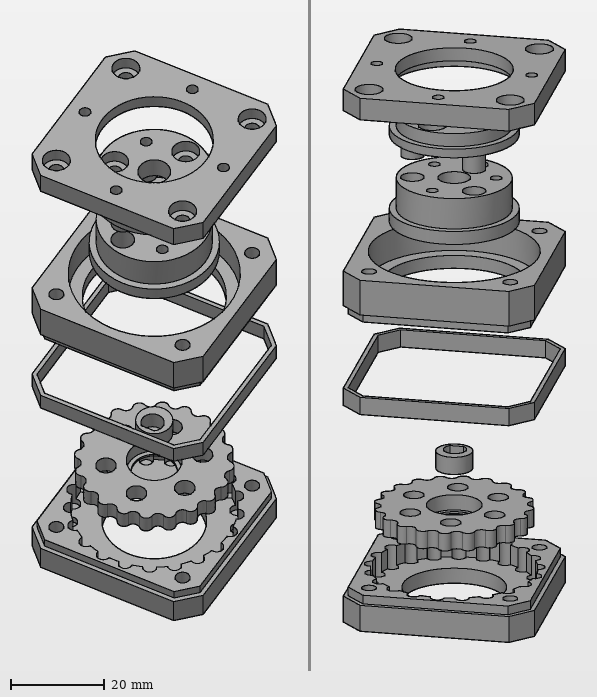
import cadquery as cq
import math

plate_width = 42.0
plate_chamfer = 4.68
spigot_step = 1.0
spigot_width = plate_width - 2 * spigot_step
spigot_chamfer = plate_chamfer - spigot_step * (2 - math.sqrt(2))
spigot_height = 2.0
corner_screw_spacing = 31.0
corner_screw_diameter = 3.2
screw_head_diameter = 6.0
screw_head_depth = 3.0

output_diameter = 25.0
flange_diameter = 28.0
output_bolt_radius = 9.0
output_first_angle = 10.0
output_station_count = 6
output_bore_diameter = 7.0
output_screw_diameter = 3.1
thread_diameter = 2.5
drive_pin_diameter = 5.0
drive_pin_length = 5.0
drive_pin_socket_diameter = 5.05
upper_flange_height = 2.0
upper_boss_height = 3.0
lower_flange_height = 3.0
lower_boss_height = 7.0

cover_height = upper_flange_height + upper_boss_height
cover_bore_diameter = 25.4
flange_recess_diameter = 29.0
cover_hole_radius = 17.0
cover_hole_count = 4

bearing_housing_height = 8.0
bearing_bore_diameter = 37.0
bearing_bore_depth = 7.0
bearing_housing_bore_diameter = 31.0

eccentricity = 0.75
ring_pin_count = 21
ring_pin_diameter = 3.0
ring_pin_circle_radius = 18.0
ring_pin_first_angle = 90.0
disc_lobe_count = ring_pin_count - 1
disc_lobe_phase = 4.5
disc_height = 4.0
disc_outer_radius = ring_pin_circle_radius - ring_pin_diameter / 2 + eccentricity
disc_inner_radius = disc_outer_radius - 2 * eccentricity
lobe_valley_radius = ring_pin_diameter / 2
disc_bearing_diameter = 12.0
disc_bearing_depth = 3.5
disc_bore_diameter = 10.0
disc_hole_diameter = 4.4
disc_hole_radius = 10.5
disc_hole_count = 6
disc_hole_first_angle = 37.5

cam_diameter = 8.0
cam_height = 4.0
motor_shaft_diameter = 5.0
motor_shaft_flat_distance = 2.0

base_height = 6.0
base_pocket_depth = 4.5
ring_pin_seat_depth = 6.0
motor_boss_diameter = 22.5
spacer_height = 2 * spigot_height

base_z = 0.0
disc_z = 18.48
cam_z = 31.0
spacer_z = 50.0
bearing_housing_z = 71.0
lower_output_z = 88.0
upper_output_z = 103.0
cover_z = 118.0


def chamfered_plate(width, chamfer, height, z):
    plate = cq.Workplane("XY", origin=(0, 0, z)).rect(width, width).extrude(height)
    return plate.edges("|Z").chamfer(chamfer)


def cylinder(diameter, height, z):
    return cq.Workplane("XY", origin=(0, 0, z)).circle(diameter / 2).extrude(height)


def cylinders_at(points, diameter, height, z):
    plane = cq.Workplane("XY", origin=(0, 0, z))
    return plane.pushPoints(points).circle(diameter / 2).extrude(height)


def polar_point(radius, angle):
    turn = math.radians(angle)
    return (radius * math.cos(turn), radius * math.sin(turn))


def ring_of_points(radius, count, first_angle):
    return [polar_point(radius, first_angle + i * 360 / count) for i in range(count)]


half_spacing = corner_screw_spacing / 2
corner_points = [(x, y) for x in (-half_spacing, half_spacing) for y in (-half_spacing, half_spacing)]

pin_count = output_station_count // 2
station_step = 360 / output_station_count
pin_points = ring_of_points(output_bolt_radius, pin_count, output_first_angle)
screw_points = ring_of_points(output_bolt_radius, pin_count, output_first_angle + station_step)


def make_cover():
    head_z = cover_z + cover_height - screw_head_depth
    cover = chamfered_plate(plate_width, plate_chamfer, cover_height, cover_z)
    cover = cover.cut(cylinder(cover_bore_diameter, cover_height, cover_z))
    cover = cover.cut(cylinder(flange_recess_diameter, upper_flange_height, cover_z))
    cover = cover.cut(cylinders_at(corner_points, corner_screw_diameter, cover_height, cover_z))
    cover = cover.cut(cylinders_at(corner_points, screw_head_diameter, screw_head_depth, head_z))
    side_points = ring_of_points(cover_hole_radius, cover_hole_count, 0)
    return cover.cut(cylinders_at(side_points, thread_diameter, cover_height, cover_z))


def make_upper_output():
    flange_z = upper_output_z + drive_pin_length
    boss_z = flange_z + upper_flange_height
    body_height = upper_flange_height + upper_boss_height
    total_height = drive_pin_length + body_height
    head_z = upper_output_z + total_height - screw_head_depth
    output = cylinder(flange_diameter, upper_flange_height, flange_z)
    output = output.union(cylinder(output_diameter, upper_boss_height, boss_z))
    output = output.union(cylinders_at(pin_points, drive_pin_diameter, drive_pin_length, upper_output_z))
    output = output.cut(cylinder(output_bore_diameter, body_height, flange_z))
    output = output.cut(cylinders_at(screw_points, output_screw_diameter, body_height, flange_z))
    output = output.cut(cylinders_at(screw_points, screw_head_diameter, screw_head_depth, head_z))
    return output.cut(cylinders_at(pin_points, thread_diameter, total_height, upper_output_z))


def make_lower_output():
    height = lower_flange_height + lower_boss_height
    output = cylinder(flange_diameter, lower_flange_height, lower_output_z)
    output = output.union(cylinder(output_diameter, height, lower_output_z))
    output = output.cut(cylinder(output_bore_diameter, height, lower_output_z))
    output = output.cut(cylinders_at(screw_points, thread_diameter, height, lower_output_z))
    return output.cut(cylinders_at(pin_points, drive_pin_socket_diameter, height, lower_output_z))


def make_bearing_housing():
    total_height = spigot_height + bearing_housing_height
    plate_z = bearing_housing_z + spigot_height
    seat_z = bearing_housing_z + total_height - bearing_bore_depth
    housing = chamfered_plate(plate_width, plate_chamfer, bearing_housing_height, plate_z)
    spigot = chamfered_plate(spigot_width, spigot_chamfer, spigot_height, bearing_housing_z)
    housing = housing.union(spigot)
    housing = housing.cut(cylinder(bearing_housing_bore_diameter, total_height, bearing_housing_z))
    housing = housing.cut(cylinder(bearing_bore_diameter, bearing_bore_depth, seat_z))
    return housing.cut(
        cylinders_at(corner_points, corner_screw_diameter, total_height, bearing_housing_z)
    )


def make_spacer():
    spacer = chamfered_plate(plate_width, plate_chamfer, spacer_height, spacer_z)
    return spacer.cut(chamfered_plate(spigot_width, spigot_chamfer, spacer_height, spacer_z))


def make_cam():
    """Round cam with an off-centre D-shaped hole for the motor shaft."""
    cam = cylinder(cam_diameter, cam_height, cam_z)
    shaft = cylinder(motor_shaft_diameter, cam_height, cam_z)
    kept_side = cq.Workplane("XY", origin=(0, 0, cam_z)).rect(cam_diameter, cam_diameter)
    kept_side = kept_side.extrude(cam_height)
    kept_side = kept_side.translate((0, cam_diameter / 2 - motor_shaft_flat_distance, 0))
    shaft = shaft.intersect(kept_side)
    return cam.cut(shaft.translate((0, -eccentricity, 0)))


def lobed_outline(z):
    """Closed ring of lobe arcs and valley arcs, each tangent to its neighbours."""
    half_step = math.radians(180 / disc_lobe_count)
    valley_center = disc_inner_radius + lobe_valley_radius
    cos_step = math.cos(half_step)
    lobe_radius = (
        disc_outer_radius**2
        + valley_center**2
        - 2 * disc_outer_radius * valley_center * cos_step
        - lobe_valley_radius**2
    ) / (2 * (lobe_valley_radius + disc_outer_radius - valley_center * cos_step))
    lobe_center = disc_outer_radius - lobe_radius
    share = lobe_radius / (lobe_radius + lobe_valley_radius)
    along = lobe_center + share * (valley_center * cos_step - lobe_center)
    across = share * valley_center * math.sin(half_step)
    joint_radius = math.hypot(along, across)
    joint_angle = math.degrees(math.atan2(across, along))

    step = 360 / disc_lobe_count
    outline = cq.Workplane("XY", origin=(0, 0, z))
    outline = outline.moveTo(*polar_point(joint_radius, disc_lobe_phase - joint_angle))
    for i in range(disc_lobe_count):
        peak = disc_lobe_phase + i * step
        outline = outline.threePointArc(
            polar_point(disc_outer_radius, peak),
            polar_point(joint_radius, peak + joint_angle),
        )
        outline = outline.threePointArc(
            polar_point(disc_inner_radius, peak + step / 2),
            polar_point(joint_radius, peak + step - joint_angle),
        )
    return outline.close()


def make_disc():
    bearing_z = disc_z + disc_height - disc_bearing_depth
    disc = lobed_outline(disc_z).extrude(disc_height)
    disc = disc.cut(cylinder(disc_bore_diameter, disc_height, disc_z))
    disc = disc.cut(cylinder(disc_bearing_diameter, disc_bearing_depth, bearing_z))
    hole_points = ring_of_points(disc_hole_radius, disc_hole_count, disc_hole_first_angle)
    return disc.cut(cylinders_at(hole_points, disc_hole_diameter, disc_height, disc_z))


def make_base():
    """Base plate with a round pocket whose rim is notched by the ring pin seats."""
    total_height = base_height + spigot_height
    pocket_z = base_z + total_height - base_pocket_depth
    seat_z = base_z + total_height - ring_pin_seat_depth
    base = chamfered_plate(plate_width, plate_chamfer, base_height, base_z)
    spigot = chamfered_plate(spigot_width, spigot_chamfer, spigot_height, base_z + base_height)
    base = base.union(spigot)
    base = base.cut(cylinder(2 * ring_pin_circle_radius, base_pocket_depth, pocket_z))
    pin_seats = ring_of_points(ring_pin_circle_radius, ring_pin_count, ring_pin_first_angle)
    base = base.cut(cylinders_at(pin_seats, ring_pin_diameter, ring_pin_seat_depth, seat_z))
    base = base.cut(cylinder(motor_boss_diameter, total_height, base_z))
    return base.cut(cylinders_at(corner_points, corner_screw_diameter, total_height, base_z))


cover = make_cover()
upper_output = make_upper_output()
lower_output = make_lower_output()
bearing_housing = make_bearing_housing()
spacer = make_spacer()
cam = make_cam()
disc = make_disc()
base = make_base()

result = cq.Compound.makeCompound(
    [
        cover.val(),
        upper_output.val(),
        lower_output.val(),
        bearing_housing.val(),
        spacer.val(),
        cam.val(),
        disc.val(),
        base.val(),
    ]
)